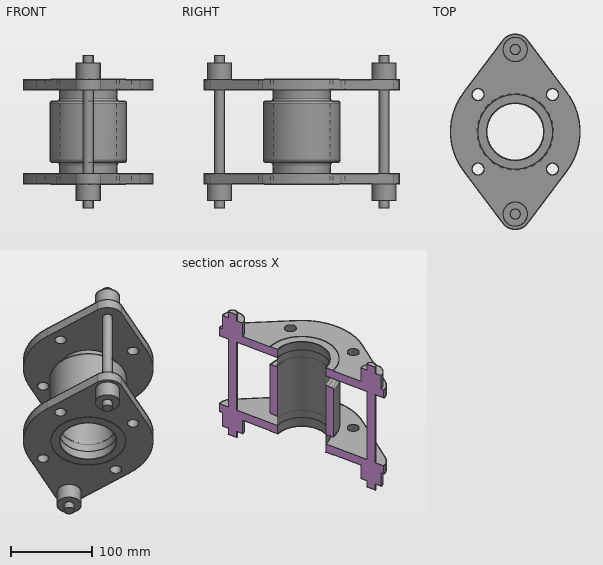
import cadquery as cq
import math

overall_length = 240.9
disc_radius = 80.0
lug_radius = 19.0
plate_inner_z = 51.5
plate_thickness = 12.8
plate_outer_z = plate_inner_z + plate_thickness
rod_offset = overall_length / 2 - lug_radius

bolt_spacing = 91.8
bolt_hole_diameter = 14.5

bore_radius = 35.0
neck_radius = 35.6
body_radius = 47.2
face_radius = 46.0
face_bore_radius = 35.2
face_height = 0.5
shoulder_z = 37.8
shoulder_fillet = 3.0

rod_radius = 6.3
rod_length = 188.0
nut_radius = 15.0
nut_height = 20.5


def flange_plate(base_z):
    """Plate whose straight sides are tangent to the disc and to both lugs."""
    cos_tangent = (disc_radius - lug_radius) / rod_offset
    sin_tangent = math.sqrt(1 - cos_tangent**2)
    disc_x = disc_radius * sin_tangent
    disc_y = disc_radius * cos_tangent
    lug_x = lug_radius * sin_tangent
    lug_y = rod_offset + lug_radius * cos_tangent
    tip_y = overall_length / 2
    return (
        cq.Workplane("XY", origin=(0, 0, base_z))
        .moveTo(disc_x, -disc_y)
        .threePointArc((disc_radius, 0), (disc_x, disc_y))
        .lineTo(lug_x, lug_y)
        .threePointArc((0, tip_y), (-lug_x, lug_y))
        .lineTo(-disc_x, disc_y)
        .threePointArc((-disc_radius, 0), (-disc_x, -disc_y))
        .lineTo(-lug_x, -lug_y)
        .threePointArc((0, -tip_y), (lug_x, -lug_y))
        .close()
        .extrude(plate_thickness)
        .faces(">Z")
        .workplane(origin=(0, 0, 0))
        .rect(bolt_spacing, bolt_spacing, forConstruction=True)
        .vertices()
        .hole(bolt_hole_diameter)
    )


def centred_cylinder(radius, length, y=0):
    """Cylinder along Z, centred on the mid-plane."""
    return cq.Workplane("XY", origin=(0, y, -length / 2)).circle(radius).extrude(length)


def sleeve():
    """Wide body with rounded shoulders, joined to both necks by fillets."""
    neck_end_z = shoulder_z + shoulder_fillet
    side_end_z = shoulder_z - shoulder_fillet
    return (
        cq.Workplane("XZ")
        .moveTo(0, -plate_outer_z)
        .lineTo(neck_radius, -plate_outer_z)
        .lineTo(neck_radius, -neck_end_z)
        .radiusArc((neck_radius + shoulder_fillet, -shoulder_z), shoulder_fillet)
        .lineTo(body_radius - shoulder_fillet, -shoulder_z)
        .radiusArc((body_radius, -side_end_z), -shoulder_fillet)
        .lineTo(body_radius, side_end_z)
        .radiusArc((body_radius - shoulder_fillet, shoulder_z), -shoulder_fillet)
        .lineTo(neck_radius + shoulder_fillet, shoulder_z)
        .radiusArc((neck_radius, neck_end_z), shoulder_fillet)
        .lineTo(neck_radius, plate_outer_z)
        .lineTo(0, plate_outer_z)
        .close()
        .revolve(360, (0, 0, 0), (0, 1, 0))
    )


def sealing_face(side):
    """Thin raised ring on the outer side of a flange."""
    return (
        cq.Workplane("XY", origin=(0, 0, side * plate_outer_z))
        .circle(face_radius)
        .circle(face_bore_radius)
        .extrude(side * face_height)
    )


def nut(side, y):
    """Round nut seated on the outer side of a flange."""
    return (
        cq.Workplane("XY", origin=(0, y, side * plate_outer_z))
        .circle(nut_radius)
        .extrude(side * nut_height)
    )


result = sleeve()
for plate_base_z in (plate_inner_z, -plate_outer_z):
    result = result.union(flange_plate(plate_base_z))

for rod_y in (rod_offset, -rod_offset):
    result = result.union(centred_cylinder(rod_radius, rod_length, rod_y))
    for side in (1, -1):
        result = result.union(nut(side, rod_y))

result = result.cut(centred_cylinder(bore_radius, 2 * plate_outer_z))

for side in (1, -1):
    result = result.union(sealing_face(side))